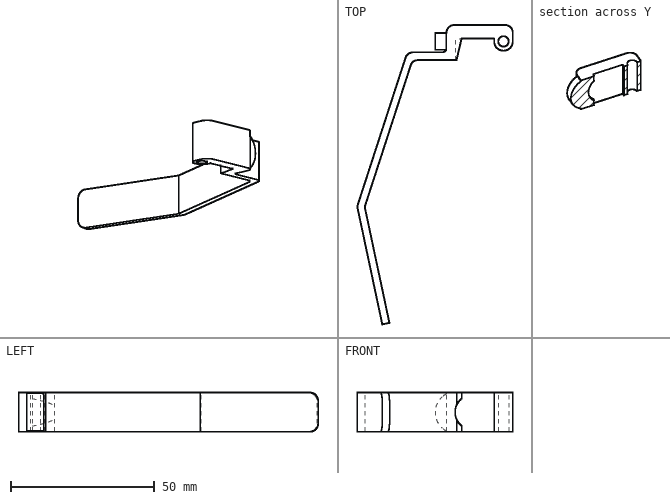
import cadquery as cq
import math

LENGTH = 104.3
REACH = 54.2
WIDTH = 13.8

STRIP_THICKNESS = 2.6
BEND_Y = 41.1
UPPER_LEAN = math.radians(18)
LOWER_LEAN = math.radians(12)
TIP_RADIUS = 3.0

STEP_TOP_Y = 94.8
STEP_THICKNESS = 2.8
STEP_OUTER_BEND_RADIUS = 2.9
STEP_INNER_BEND_RADIUS = 2.4
WALL_FOOT_RADIUS = 1.4
STEP_BOTTOM_END_X = 34.6

WALL_X = 31.1
ARM_BOTTOM_Y = 99.5
ARM_BOTTOM_START_X = 36.4
ARM_CORNER_RADIUS = 2.7
EYE_DIAMETER = 6.6
EYE_Y = 98.6
PIN_RADIUS = 1.8

STOP_PROJECTION = 4.0
STOP_HEIGHT = 13.0
STOP_BOTTOM_Y = 95.7
STOP_TOP_Y = 101.5

CLEARANCE_RADIUS = 6.0
CLEARANCE_X = 40.2

EYE_RADIUS = EYE_DIAMETER / 2
EYE_X = REACH - EYE_RADIUS
STEP_BOTTOM_Y = STEP_TOP_Y - STEP_THICKNESS


def upper_leg_x(y, offset):
    """X at position y along the upper leg, at a distance inside its outer face."""
    return (y - BEND_Y) * math.tan(UPPER_LEAN) + offset / math.cos(UPPER_LEAN)


def make_profile():
    """Extrude the outline of lever, step and arm, then round its bends."""
    outer_bend = (0, BEND_Y)
    outer_tip = (BEND_Y * math.tan(LOWER_LEAN), 0)
    inner_tip = (
        outer_tip[0] + STRIP_THICKNESS * math.cos(LOWER_LEAN),
        STRIP_THICKNESS * math.sin(LOWER_LEAN),
    )
    half_turn = (UPPER_LEAN + LOWER_LEAN) / 2
    bisector_tilt = (UPPER_LEAN - LOWER_LEAN) / 2
    bend_width = STRIP_THICKNESS / math.cos(half_turn)
    inner_bend = (
        bend_width * math.cos(bisector_tilt),
        BEND_Y - bend_width * math.sin(bisector_tilt),
    )
    step_outer = (upper_leg_x(STEP_TOP_Y, 0), STEP_TOP_Y)
    step_inner = (upper_leg_x(STEP_BOTTOM_Y, STRIP_THICKNESS), STEP_BOTTOM_Y)
    wall_foot = (WALL_X, STEP_TOP_Y)
    arm_corners = [(WALL_X, LENGTH), (REACH, LENGTH)]

    profile = (
        cq.Workplane("XY")
        .polyline([outer_tip, outer_bend, step_outer, wall_foot] + arm_corners)
        .lineTo(REACH, EYE_Y)
        .threePointArc((EYE_X, EYE_Y - EYE_RADIUS), (EYE_X - EYE_RADIUS, EYE_Y))
        .lineTo(EYE_X - EYE_RADIUS, ARM_BOTTOM_Y)
        .lineTo(ARM_BOTTOM_START_X, ARM_BOTTOM_Y)
        .lineTo(STEP_BOTTOM_END_X, STEP_BOTTOM_Y)
        .lineTo(*step_inner)
        .lineTo(*inner_bend)
        .lineTo(*inner_tip)
        .close()
        .extrude(WIDTH)
    )

    rounded_corners = [
        (step_outer, STEP_OUTER_BEND_RADIUS),
        (step_inner, STEP_INNER_BEND_RADIUS),
        (wall_foot, WALL_FOOT_RADIUS),
    ]
    rounded_corners += [(corner, ARM_CORNER_RADIUS) for corner in arm_corners]
    for (x, y), radius in rounded_corners:
        edge = cq.selectors.NearestToPointSelector((x, y, WIDTH / 2))
        profile = profile.edges("|Z").edges(edge).fillet(radius)

    tip_middle = ((outer_tip[0] + inner_tip[0]) / 2, inner_tip[1] / 2, WIDTH / 2)
    tip_face = profile.faces(cq.selectors.NearestToPointSelector(tip_middle))
    return tip_face.edges("not |Z").fillet(TIP_RADIUS)


def make_stop():
    """Arc-shaped stop on the wall; its flat back sits on the wall."""
    low_z = (WIDTH - STOP_HEIGHT) / 2
    return (
        cq.Workplane("XZ", origin=(0, STOP_TOP_Y, 0))
        .moveTo(WALL_X, low_z)
        .threePointArc((WALL_X - STOP_PROJECTION, WIDTH / 2), (WALL_X, low_z + STOP_HEIGHT))
        .close()
        .extrude(STOP_TOP_Y - STOP_BOTTOM_Y)
    )


def make_clearance():
    """Cylinder along Y that scoops the sloped face up to the arm."""
    return (
        cq.Workplane("XZ", origin=(CLEARANCE_X, ARM_BOTTOM_Y, WIDTH / 2))
        .circle(CLEARANCE_RADIUS)
        .extrude(ARM_BOTTOM_Y - STEP_BOTTOM_Y)
    )


def make_pin_hole():
    return cq.Workplane("XY").center(EYE_X, EYE_Y).circle(PIN_RADIUS).extrude(WIDTH)


result = make_profile().union(make_stop()).cut(make_clearance()).cut(make_pin_hole())